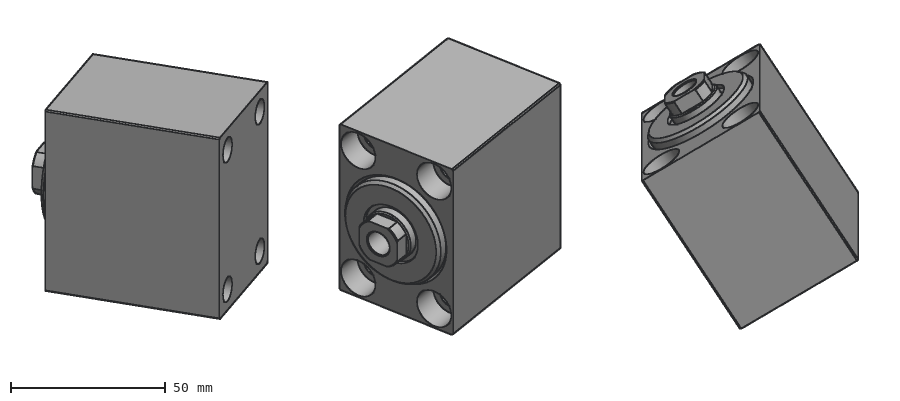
import cadquery as cq
import math

total_length = 70.0
block_length = 60.0
block_width = 45.0
block_height = 65.0
edge_chamfer = 0.5
block_front = total_length - block_length

hole_spacing_y = 30.0
hole_spacing_z = 50.0
hole_dia = 8.5
counterbore_dia = 13.6
counterbore_depth = 9.0

gland_dia = 38.0
gland_front = 7.0
gland_depth = 15.0
gland_chamfer_length = 1.1
gland_chamfer_radial = 1.05
bore_mouth_dia = 40.0
wiper_dia = 21.55
wiper_depth = 1.4

rod_dia = 18.0
tip_dia = 17.0
tip_length = 5.0
tip_chamfer = 0.3
flat_width = 15.0
thread_hole_dia = 8.5
thread_hole_depth = 15.0
thread_hole_chamfer = 0.35
drill_point_angle = 118.0

bore_chamfer = (bore_mouth_dia - gland_dia) / 2
rod_chamfer = (rod_dia - tip_dia) / 2
bore_bottom = block_front + gland_depth


def revolve_about_x(profile):
    """Solid of revolution about X from a list of (x, radius) points."""
    return cq.Workplane("XY").polyline(profile).close().revolve(360, (0, 0, 0), (1, 0, 0))


def cylinder_x(diameter, start, end):
    """Cylinder on the X axis between two X positions."""
    return cq.Workplane("YZ").workplane(offset=start).circle(diameter / 2).extrude(end - start)


def make_block():
    block = (
        cq.Workplane("XY")
        .box(block_length, block_width, block_height)
        .translate((block_front + block_length / 2, 0, 0))
        .edges("|X")
        .chamfer(edge_chamfer)
    )
    block = (
        block.faces("<X")
        .workplane(centerOption="CenterOfBoundBox")
        .rect(hole_spacing_y, hole_spacing_z, forConstruction=True)
        .vertices()
        .cboreHole(hole_dia, counterbore_dia, counterbore_depth)
    )
    bore_radius = gland_dia / 2
    bore = revolve_about_x([
        (block_front, 0),
        (block_front, bore_mouth_dia / 2),
        (block_front + bore_chamfer, bore_radius),
        (bore_bottom, bore_radius),
        (bore_bottom, 0),
    ])
    return block.cut(bore)


def make_gland():
    radius = gland_dia / 2
    gland = revolve_about_x([
        (gland_front, 0),
        (gland_front, radius - gland_chamfer_radial),
        (gland_front + gland_chamfer_length, radius),
        (bore_bottom, radius),
        (bore_bottom, 0),
    ])
    wiper_recess = cylinder_x(wiper_dia, gland_front, gland_front + wiper_depth)
    rod_passage = cylinder_x(rod_dia, gland_front, bore_bottom)
    return gland.cut(wiper_recess).cut(rod_passage)


def make_tip():
    """Rod tip with four wrench flats and a chamfered end."""
    tip = cylinder_x(tip_dia, 0, tip_length).faces("<X").chamfer(tip_chamfer)
    square = cq.Workplane("YZ").rect(flat_width, flat_width).extrude(tip_length)
    return tip.intersect(square)


def make_thread_hole():
    """Blind tapped hole with a countersunk mouth and a drill-point bottom."""
    radius = thread_hole_dia / 2
    point_length = radius / math.tan(math.radians(drill_point_angle / 2))
    return revolve_about_x([
        (0, 0),
        (0, radius + thread_hole_chamfer),
        (thread_hole_chamfer, radius),
        (thread_hole_depth, radius),
        (thread_hole_depth + point_length, 0),
    ])


def make_rod():
    shaft = cylinder_x(rod_dia, tip_length, bore_bottom).faces("<X").chamfer(rod_chamfer)
    return shaft.union(make_tip()).cut(make_thread_hole())


block = make_block()
gland = make_gland()
rod = make_rod()

result = cq.Compound.makeCompound([block.val(), gland.val(), rod.val()])